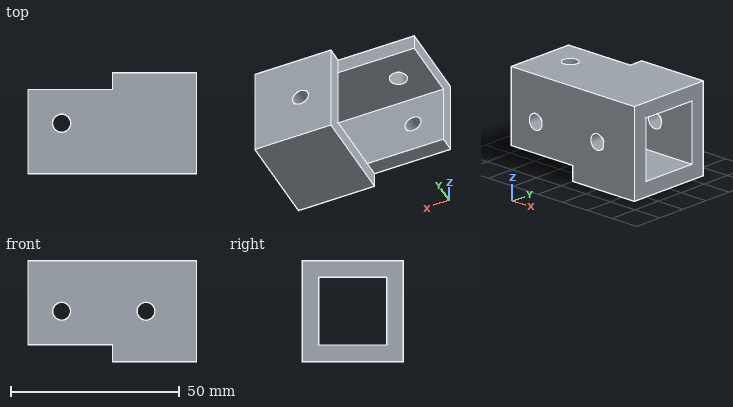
import cadquery as cq

length = 50.0
bore = 20.0
wall = 5.0
front_hole_diameter = 5.2
top_hole_diameter = 5.3

outer = bore + 2 * wall
tube_start = length / 2
angle_hole_x = bore / 2
tube_hole_x = tube_start + bore / 2
mid = outer / 2


def corner_box(x, y, z, size_x, size_y, size_z):
    """Box with its lowest corner at (x, y, z)."""
    return cq.Workplane("XY").box(size_x, size_y, size_z, centered=False).translate((x, y, z))


def square_tube():
    """Full-length square tube with a passage along X."""
    block = corner_box(0, 0, 0, length, outer, outer)
    passage = corner_box(0, wall, wall, length, bore, bore)
    return block.cut(passage)


def open_half(tube):
    """Remove the bottom and back walls of the first half, leaving the front and top walls."""
    bottom_wall = corner_box(0, 0, 0, tube_start, outer, wall)
    back_wall = corner_box(0, outer - wall, 0, tube_start, wall, outer)
    return tube.cut(bottom_wall).cut(back_wall)


def hole_along_y(x):
    """Cutter through the whole part along Y."""
    axis = cq.Vector(0, 1, 0)
    start = cq.Vector(x, 0, mid)
    return cq.Workplane(cq.Solid.makeCylinder(front_hole_diameter / 2, outer, start, axis))


def hole_along_z(x):
    """Cutter through the whole part along Z."""
    axis = cq.Vector(0, 0, 1)
    start = cq.Vector(x, mid, 0)
    return cq.Workplane(cq.Solid.makeCylinder(top_hole_diameter / 2, outer, start, axis))


result = open_half(square_tube())
for hole_x in (angle_hole_x, tube_hole_x):
    result = result.cut(hole_along_y(hole_x))
result = result.cut(hole_along_z(angle_hole_x))